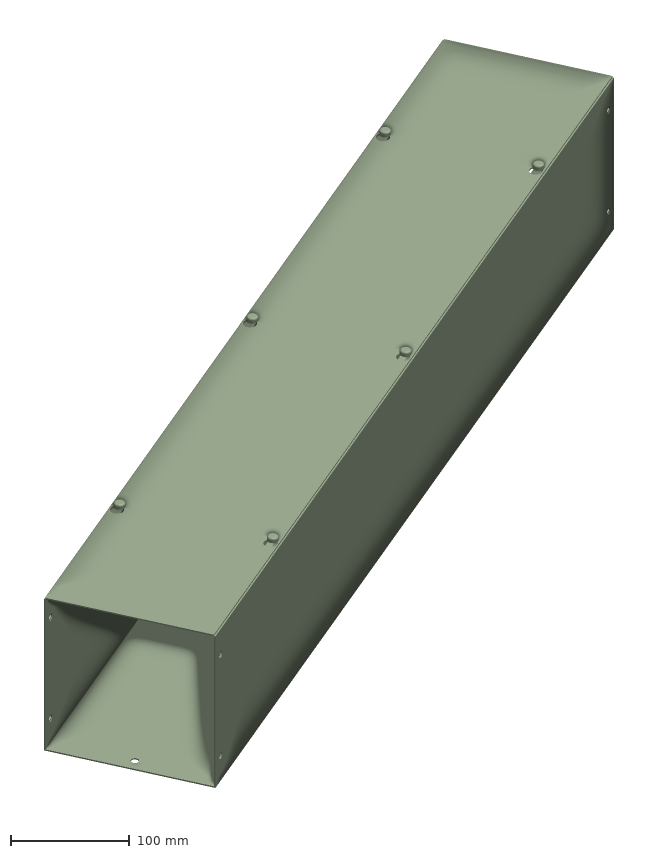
import cadquery as cq

length = 914.0
tray_width = 155.0
tray_height = 154.0
sheet = 1.4
flange_width = 12.0
flange_setback = 22.0

wall_hole_diameter = 6.0
wall_hole_heights = (26.0, 128.0)
floor_hole_diameter = 7.0
end_hole_inset = 12.0

lid_width = 153.0
keyhole_diameter = 12.0
keyhole_shift = 5.5

head_diameter = 10.0
head_height = 5.0
head_fillet = 2.0
shank_diameter = 5.5
shank_length = 6.0
screw_inset = 8.0
screws_per_side = 3

flange_bottom = tray_height - sheet
lid_top = tray_height + sheet
end_hole_y = length / 2 - end_hole_inset
screw_x = tray_width / 2 - screw_inset
screw_pitch = length / screws_per_side
screw_points = [
    (side * screw_x, (row - (screws_per_side - 1) / 2) * screw_pitch)
    for side in (-1, 1)
    for row in range(screws_per_side)
]


def level(z):
    """Horizontal work plane at height z."""
    return cq.Workplane("XY", origin=(0, 0, z))


def make_flange():
    """Flange of the -X wall, stopping short of both tray ends."""
    return (
        cq.Workplane("XY", origin=(-tray_width / 2, 0, flange_bottom))
        .box(flange_width, length - 2 * flange_setback, sheet, centered=(False, True, False))
    )


def make_tray():
    """U channel with two flanges, drilled near its ends and under each screw."""
    channel = level(0).rect(tray_width, length).extrude(tray_height)
    cavity = level(sheet).rect(tray_width - 2 * sheet, length).extrude(tray_height)
    flange = make_flange()
    body = channel.cut(cavity).union(flange).union(flange.mirror("YZ"))

    wall_points = [(y, z) for y in (-end_hole_y, end_hole_y) for z in wall_hole_heights]
    wall_holes = (
        cq.Workplane("YZ")
        .pushPoints(wall_points)
        .circle(wall_hole_diameter / 2)
        .extrude(tray_width, both=True)
    )
    floor_points = [(0, -end_hole_y), (0, end_hole_y)]
    floor_holes = level(0).pushPoints(floor_points).circle(floor_hole_diameter / 2).extrude(sheet)
    screw_holes = level(flange_bottom).pushPoints(screw_points).circle(shank_diameter / 2).extrude(sheet)
    return body.cut(wall_holes).cut(floor_holes).cut(screw_holes)


def make_lid():
    """Plate with keyholes: a large opening on the -Y side of each shank hole, running into it."""
    plate = level(tray_height).rect(lid_width, length).extrude(sheet)
    opening_points = [(x, y - keyhole_shift) for x, y in screw_points]
    openings = level(tray_height).pushPoints(opening_points).circle(keyhole_diameter / 2).extrude(sheet)
    shank_holes = level(tray_height).pushPoints(screw_points).circle(shank_diameter / 2).extrude(sheet)
    return plate.cut(openings).cut(shank_holes)


def make_screw(x, y):
    """Screw at (x, y), its head sitting on top of the lid."""
    seat = level(lid_top).center(x, y)
    head = seat.circle(head_diameter / 2).extrude(head_height).faces(">Z").edges().fillet(head_fillet)
    shank = seat.circle(shank_diameter / 2).extrude(-shank_length)
    return head.union(shank)


tray = make_tray()
lid = make_lid()
screws = [make_screw(x, y) for x, y in screw_points]

result = cq.Compound.makeCompound([tray.val(), lid.val(), *[screw.val() for screw in screws]])